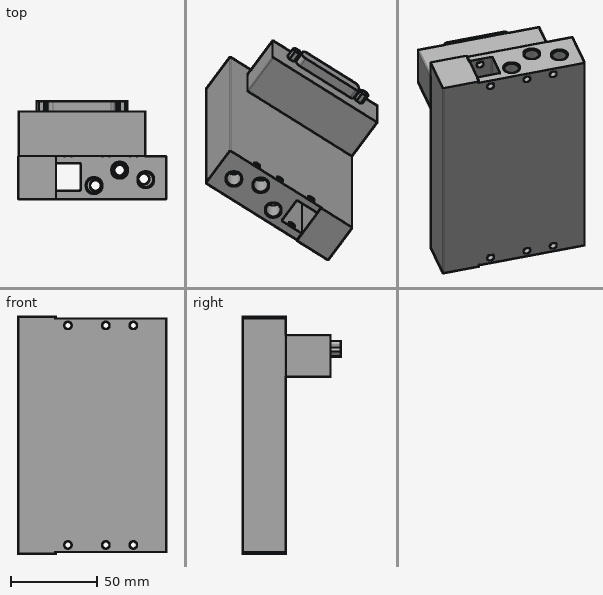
import cadquery as cq
import math

BLOCK_WIDTH = 86.0
BLOCK_DEPTH = 25.0
TOTAL_HEIGHT = 137.5
TOTAL_DEPTH = 56.9
COVER_WIDTH = 22.0
COVER_STEP = 1.0
EDGE_RADIUS = 0.5

COVER_TOP = TOTAL_HEIGHT / 2
BLOCK_HEIGHT = TOTAL_HEIGHT - 2 * COVER_STEP
BLOCK_TOP = BLOCK_HEIGHT / 2

DUCT_WIDTH = 14.2
DUCT_FRONT = 5.1
DUCT_BACK = 20.9
DUCT_CORNER_RADIUS = 0.7

PORTS = [
    (44.0, 8.0, 0.8, 0.0),
    (58.8, 16.9, 0.0, 0.0),
    (74.0, 11.4, -1.1, 0.4),
]
PORT_DIAMETER = 8.7
PORT_MOUTH_DIAMETER = 9.8
PORT_DEPTH = 16.5
GALLERY_DIAMETER = 6.2

MOUNT_XS = [28.9, 50.9, 66.8]
MOUNT_DIAMETER = 4.1
MOUNT_FROM_END = 5.1
MOUNT_Z = COVER_TOP - MOUNT_FROM_END

HOUSING_CENTER_X = 37.0
HOUSING_WIDTH = 73.5
HOUSING_HEIGHT = 24.3
HOUSING_DEPTH = 26.0
HOUSING_TOP = COVER_TOP - 10.6
HOUSING_BACK = BLOCK_DEPTH + HOUSING_DEPTH

CONNECTOR_DEPTH = TOTAL_DEPTH - HOUSING_BACK
SHELL_TOP = COVER_TOP - 14.0
SHELL_HEIGHT = 9.4
SHELL_TOP_WIDTH = 38.2
SHELL_FLANK_ANGLE = 10.0
SHELL_RADIUS = 2.8
SCREW_SPACING = 47.0
SCREW_ACROSS_FLATS = 5.0
SCREW_Z = COVER_TOP - 20.2


def make_block():
    """Block with the taller cover strip along its left side."""
    main = cq.Workplane("XY").box(BLOCK_WIDTH, BLOCK_DEPTH, BLOCK_HEIGHT, centered=(False, False, True))
    main = main.edges("|Z").fillet(EDGE_RADIUS)
    cover = cq.Workplane("XY").box(COVER_WIDTH, BLOCK_DEPTH, TOTAL_HEIGHT, centered=(False, False, True))
    cover = cover.edges("|Z").fillet(EDGE_RADIUS)
    return main.union(cover)


def make_housing():
    """Connector housing with rounded edges along its depth."""
    housing = cq.Workplane("XY").box(HOUSING_WIDTH, HOUSING_DEPTH, HOUSING_HEIGHT)
    housing = housing.edges("|Y").fillet(EDGE_RADIUS)
    center_y = BLOCK_DEPTH + HOUSING_DEPTH / 2
    center_z = HOUSING_TOP - HOUSING_HEIGHT / 2
    return housing.translate((HOUSING_CENTER_X, center_y, center_z))


def connector_plane(z):
    """Workplane on the back of the housing; negative lengths extrude outward, toward +Y."""
    return cq.Workplane("XZ", origin=(HOUSING_CENTER_X, HOUSING_BACK, z))


def make_connector():
    """D-shaped shell and its two jack screws."""
    flare = SHELL_HEIGHT * math.tan(math.radians(SHELL_FLANK_ANGLE))
    half_top = SHELL_TOP_WIDTH / 2
    half_bottom = half_top + flare
    shell = (
        connector_plane(SHELL_TOP)
        .polyline([
            (-half_top, 0),
            (half_top, 0),
            (half_bottom, -SHELL_HEIGHT),
            (-half_bottom, -SHELL_HEIGHT),
        ])
        .close()
        .extrude(-CONNECTOR_DEPTH)
        .edges("|Y")
        .fillet(SHELL_RADIUS)
    )
    across_corners = SCREW_ACROSS_FLATS * 2 / math.sqrt(3)
    screws = (
        connector_plane(SCREW_Z)
        .pushPoints([(-SCREW_SPACING / 2, 0), (SCREW_SPACING / 2, 0)])
        .polygon(6, across_corners)
        .extrude(-CONNECTOR_DEPTH)
    )
    return shell.union(screws)


def make_duct():
    """Cutter for the rectangular duct, running through the full height."""
    depth = DUCT_BACK - DUCT_FRONT
    duct = cq.Workplane("XY").box(DUCT_WIDTH, depth, TOTAL_HEIGHT, centered=(False, False, True))
    duct = duct.edges("|Z and >X").fillet(DUCT_CORNER_RADIUS)
    return duct.translate((COVER_WIDTH, DUCT_FRONT, 0))


def make_port(x, y):
    """Cutter for the wide bore at the top end, with its 45 degree mouth chamfer."""
    bore_radius = PORT_DIAMETER / 2
    mouth_radius = PORT_MOUTH_DIAMETER / 2
    chamfer = mouth_radius - bore_radius
    return (
        cq.Workplane("XZ")
        .polyline([
            (0, BLOCK_TOP),
            (mouth_radius, BLOCK_TOP),
            (bore_radius, BLOCK_TOP - chamfer),
            (bore_radius, BLOCK_TOP - PORT_DEPTH),
            (0, BLOCK_TOP - PORT_DEPTH),
        ])
        .close()
        .revolve(360, (0, 0, 0), (0, 1, 0))
        .translate((x, y, 0))
    )


def make_gallery(x, y):
    """Cutter for the narrow gallery running the full height."""
    gallery = cq.Workplane("XY").circle(GALLERY_DIAMETER / 2).extrude(TOTAL_HEIGHT / 2, both=True)
    return gallery.translate((x, y, 0))


def make_mounting_holes():
    """Cutter for the two rows of mounting holes."""
    points = [(x, z) for x in MOUNT_XS for z in (-MOUNT_Z, MOUNT_Z)]
    return cq.Workplane("XZ").pushPoints(points).circle(MOUNT_DIAMETER / 2).extrude(-BLOCK_DEPTH)


body = make_block().union(make_housing()).union(make_connector())
body = body.cut(make_duct()).cut(make_mounting_holes())
for port_x, port_y, offset_x, offset_y in PORTS:
    port = make_port(port_x, port_y)
    body = body.cut(port).cut(port.mirror("XY"))
    body = body.cut(make_gallery(port_x + offset_x, port_y + offset_y))

result = body